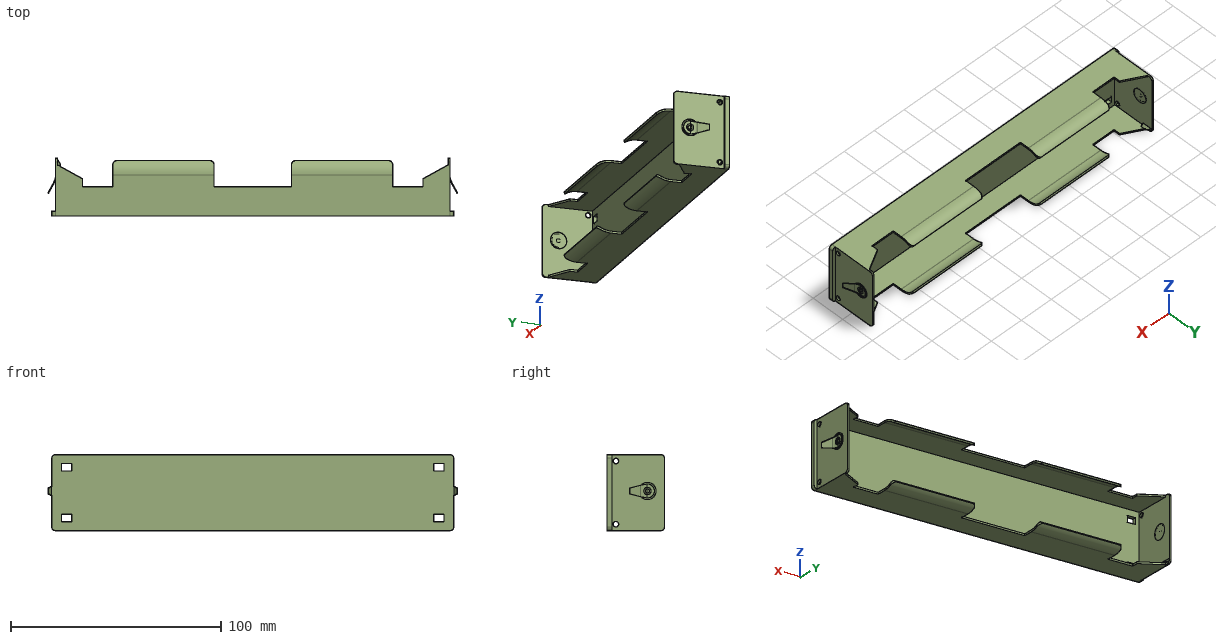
import cadquery as cq
import math

overall_length = 194.8
depth = 27.5
height = 36.2

plate_length = 191.1
plate_thickness = 2.3
corner_radius = 1.8
wall = 1.0
end_x = plate_length / 2 - corner_radius
end_corner_radius = 1.8
inner_x = end_x - wall
inner_z = height / 2 - wall

wall_depth = 14.0
gusset_x = 80.9
gusset_low_y = 17.7
gusset_high_y = 24.4
flap_inner_x = 18.3
flap_outer_x = 66.6
flap_bend_y = 19.5
flap_end_y = 26.5
flap_corner_radius = 2.3
flap_drop = 2.3

bead_leg = 1.4
bead_start_y = 21.5
bead_end_y = 27.0
bead_taper = 2.3

slot_length = 4.7
slot_height = 3.5
slot_x = 88.5
slot_z = 12.0
hole_diameter = 2.5
hole_y = 4.3
hole_z = 15.0

clip_y = 19.3
clip_z = 0.8
clip_base_radius = 4.0
spring_radius = 3.3
spring_thickness = 0.4
spring_angle = math.radians(29)
spring_bend_start = 19.0
spring_bend_radius = 6.2
tongue_root_half_width = 2.7
tongue_tip_half_width = 1.4
socket_radius = 1.8
socket_depth = 0.2
pilot_radius = 1.0
pilot_depth = 0.4


def make_shell():
    """Front plate with rounded corners, plus the two end walls behind it."""
    plate = (
        cq.Workplane("XY")
        .box(plate_length, plate_thickness, height, centered=(True, False, True))
        .edges("|Y")
        .fillet(corner_radius)
    )
    end_wall = (
        cq.Workplane("XY")
        .box(wall, depth, height, centered=(False, False, True))
        .edges("|X and >Y")
        .fillet(end_corner_radius)
    )
    return plate.union(end_wall.translate((inner_x, 0, 0))).union(end_wall.translate((-end_x, 0, 0)))


def make_flap(inner_end, outer_end):
    """Tab on the top wall whose rear part curves down toward the middle of the housing."""
    run = flap_end_y - flap_bend_y
    radius = (run**2 + flap_drop**2) / (2 * flap_drop)
    sweep = math.asin(run / radius)
    top = height / 2

    def on_arc(arc_radius, angle):
        return (flap_bend_y + arc_radius * math.sin(angle), top - radius + arc_radius * math.cos(angle))

    inner_radius = radius - wall
    width = outer_end - inner_end
    strip = (
        cq.Workplane("YZ", origin=(inner_end, 0, 0))
        .moveTo(plate_thickness, top)
        .lineTo(flap_bend_y, top)
        .threePointArc(on_arc(radius, sweep / 2), on_arc(radius, sweep))
        .lineTo(*on_arc(inner_radius, sweep))
        .threePointArc(on_arc(inner_radius, sweep / 2), on_arc(inner_radius, 0))
        .lineTo(plate_thickness, inner_z)
        .close()
        .extrude(width)
    )
    outline = (
        cq.Workplane("XY")
        .box(width, flap_end_y, height, centered=(False, False, True))
        .edges("|Z and >Y")
        .fillet(flap_corner_radius)
        .translate((inner_end, 0, 0))
    )
    return strip.intersect(outline)


def make_top_wall():
    """Top wall with a sloped gusset at each end and two curved flaps."""
    panel = (
        cq.Workplane("XY", origin=(0, 0, inner_z))
        .polyline([
            (-inner_x, 0),
            (inner_x, 0),
            (inner_x, gusset_high_y),
            (gusset_x, gusset_low_y),
            (gusset_x, wall_depth),
            (-gusset_x, wall_depth),
            (-gusset_x, gusset_low_y),
            (-inner_x, gusset_high_y),
        ])
        .close()
        .extrude(wall)
    )
    flap = make_flap(flap_inner_x, flap_outer_x)
    return panel.union(flap).union(flap.mirror("YZ"))


def make_corner_bead():
    """Triangular bead joining the bottom and -X end walls, tapered off at the back."""
    bead = (
        cq.Workplane("XZ", origin=(-inner_x, bead_start_y, -inner_z))
        .polyline([(0, 0), (bead_leg, 0), (0, bead_leg)])
        .close()
        .extrude(bead_start_y - bead_end_y)
    )
    taper = (
        cq.Workplane("XY", origin=(-inner_x, bead_end_y, -inner_z))
        .polyline([(0, 0), (bead_leg, 0), (bead_leg, -bead_taper)])
        .close()
        .extrude(bead_leg)
    )
    return bead.cut(taper)


def make_housing():
    top_wall = make_top_wall()
    housing = make_shell().union(top_wall).union(top_wall.mirror("XY")).union(make_corner_bead())

    slots = (
        cq.Workplane("XZ")
        .rect(2 * slot_x, 2 * slot_z, forConstruction=True)
        .vertices()
        .rect(slot_length, slot_height)
        .extrude(-plate_thickness)
    )
    end_holes = (
        cq.Workplane("YZ", origin=(-end_x, 0, 0))
        .pushPoints([(hole_y, hole_z), (hole_y, -hole_z)])
        .circle(hole_diameter / 2)
        .extrude(2 * end_x)
    )
    clip_holes = (
        cq.Workplane("YZ", origin=(-end_x, clip_y, clip_z))
        .circle(clip_base_radius)
        .extrude(2 * end_x)
    )
    return housing.cut(slots).cut(end_holes).cut(clip_holes)


def make_spring():
    """Spring leaf flush with the +X end wall, its tapered tongue bent outward."""
    sine = math.sin(spring_angle)
    cosine = math.cos(spring_angle)
    centre_x = end_x + spring_bend_radius
    bend_exit_x = centre_x - spring_bend_radius * cosine
    bend_exit_y = spring_bend_start - spring_bend_radius * sine
    tongue_length = (overall_length / 2 - bend_exit_x) / sine
    tip_y = bend_exit_y - tongue_length * cosine
    back_radius = spring_bend_radius + spring_thickness
    leaf_end_y = clip_y + spring_radius

    def on_bend(radius, angle):
        return (centre_x - radius * math.cos(angle), spring_bend_start - radius * math.sin(angle))

    tip_x = overall_length / 2
    profile = (
        cq.Workplane("XY", origin=(0, 0, clip_z - spring_radius))
        .moveTo(end_x, leaf_end_y)
        .lineTo(end_x, spring_bend_start)
        .threePointArc(on_bend(spring_bend_radius, spring_angle / 2), (bend_exit_x, bend_exit_y))
        .lineTo(tip_x, tip_y)
        .lineTo(tip_x - spring_thickness * cosine, tip_y - spring_thickness * sine)
        .lineTo(*on_bend(back_radius, spring_angle))
        .threePointArc(on_bend(back_radius, spring_angle / 2), on_bend(back_radius, 0))
        .lineTo(end_x - spring_thickness, leaf_end_y)
        .close()
        .extrude(2 * spring_radius)
    )
    face = cq.Workplane("YZ", origin=(inner_x, clip_y, clip_z))
    reach = overall_length / 2 - inner_x
    root_y = bend_exit_y - clip_y
    end_y = tip_y - spring_thickness * sine - clip_y
    tongue_outline = (
        face.polyline([
            (0, spring_radius),
            (root_y, tongue_root_half_width),
            (end_y, tongue_tip_half_width),
            (end_y, -tongue_tip_half_width),
            (root_y, -tongue_root_half_width),
            (0, -spring_radius),
        ])
        .close()
        .extrude(reach)
    )
    outline = face.circle(spring_radius).extrude(reach).union(tongue_outline)
    return profile.intersect(outline)


def make_clip():
    """Clip of the +X end: a round base in the wall, the spring leaf and a stepped socket."""
    base = (
        cq.Workplane("YZ", origin=(inner_x, clip_y, clip_z))
        .circle(clip_base_radius)
        .extrude(wall - spring_thickness)
    )
    outside = cq.Workplane("YZ", origin=(end_x, clip_y, clip_z))
    socket = outside.circle(socket_radius).extrude(-socket_depth)
    pilot = outside.circle(pilot_radius).extrude(-pilot_depth)
    return base.union(make_spring()).cut(socket).cut(pilot)


housing = make_housing()
clips = []
for facing_left in (False, True):
    clip = make_clip()
    if facing_left:
        clip = clip.mirror("YZ")
    clips.append(clip)

result = cq.Compound.makeCompound([housing.val(), *[clip.val() for clip in clips]])